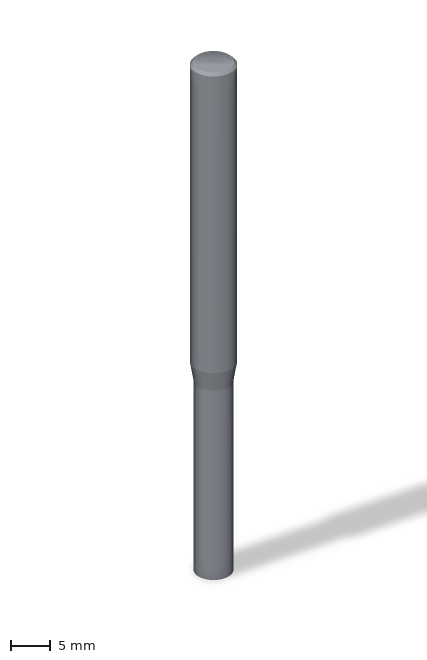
import cadquery as cq

total_length = 75.0
shank_diameter = 6.0
neck_diameter = 5.0

neck_length = 28.0
taper_length = 2.85

chamfer_size = 0.4

shank_radius = shank_diameter / 2
neck_radius = neck_diameter / 2
shank_bottom = neck_length + taper_length


def stepped_pin():
    """Revolve the half outline: neck, conical transition and chamfered shank."""
    outline = [
        (0, 0),
        (neck_radius, 0),
        (neck_radius, neck_length),
        (shank_radius, shank_bottom),
        (shank_radius, total_length - chamfer_size),
        (shank_radius - chamfer_size, total_length),
        (0, total_length),
    ]
    return cq.Workplane("XZ").polyline(outline).close().revolve(360, (0, 0), (0, 1))


result = stepped_pin()